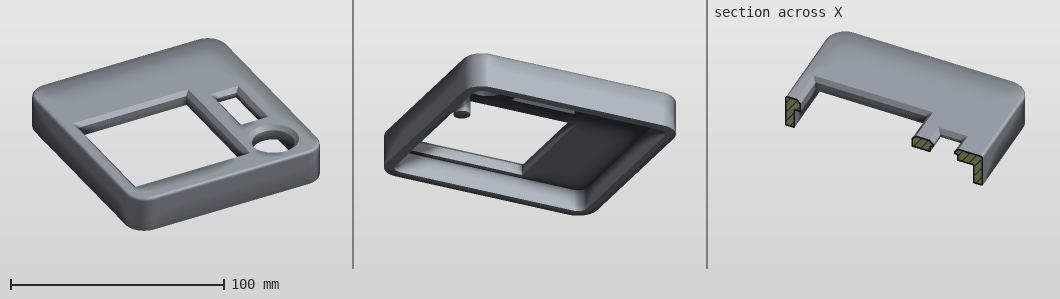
import cadquery as cq

LENGTH = 110.0
WIDTH = 102.04
HEIGHT = 18.0
CORNER_RADIUS = 10.0
TOP_FILLET = 1.5
WALL_X = 5.0
WALL_Y = 4.75
CAVITY_RADIUS = 5.0
TOP_THICKNESS = 7.0

CHAMFER = 2.0
CHAMFER_ANGLE = 45.0
SCREEN_SIZE = 57.7
SCREEN_CENTER = (67.1, 36.75)
SLOT_LENGTH = 25.7
SLOT_WIDTH = 11.1
SLOT_CENTER = (59.7, 82.05)
KNOB_DIAMETER = 20.0
KNOB_CENTER = (92.2, 82.9)

RECESS_MARGIN_X = 3.4
RECESS_MARGIN_Y = 1.5
RECESS_ROOF = 3.5

POST_DIAMETER = 8.0
POST_OFFSET_X = 4.1
POST_OFFSET_Y = 5.1

CAVITY_HEIGHT = HEIGHT - TOP_THICKNESS


def rounded_block(length, width, height, radius):
    """Block standing on Z = 0 with its lower left corner at the origin."""
    block = cq.Workplane("XY").box(length, width, height, centered=False)
    return block.edges("|Z").fillet(radius)


def make_shell():
    """Rounded cover, open underneath."""
    outer = rounded_block(LENGTH, WIDTH, HEIGHT, CORNER_RADIUS)
    outer = outer.faces(">Z").edges().fillet(TOP_FILLET)
    cavity = rounded_block(
        LENGTH - 2 * WALL_X,
        WIDTH - 2 * WALL_Y,
        CAVITY_HEIGHT,
        CAVITY_RADIUS,
    )
    return outer.cut(cavity.translate((WALL_X, WALL_Y, 0)))


def rectangular_opening(center, length, width):
    """Cutter for a window through the top with a chamfered lead-in."""
    through = cq.Workplane("XY").center(*center).rect(length, width).extrude(HEIGHT)
    lead_in = (
        cq.Workplane("XY", origin=(*center, HEIGHT))
        .rect(length + 2 * CHAMFER, width + 2 * CHAMFER)
        .extrude(-CHAMFER, taper=CHAMFER_ANGLE)
    )
    return through.union(lead_in)


def round_opening(center, diameter):
    """Cutter for a round hole through the top with a chamfered lead-in."""
    through = cq.Workplane("XY").center(*center).circle(diameter / 2).extrude(HEIGHT)
    lead_in = (
        cq.Workplane("XY", origin=(*center, HEIGHT))
        .circle(diameter / 2 + CHAMFER)
        .extrude(-CHAMFER, taper=CHAMFER_ANGLE)
    )
    return through.union(lead_in)


def make_recess():
    """Cutter for the rectangular recess around the slot on the underside of the top."""
    return (
        cq.Workplane("XY")
        .center(*SLOT_CENTER)
        .rect(SLOT_LENGTH + 2 * RECESS_MARGIN_X, SLOT_WIDTH + 2 * RECESS_MARGIN_Y)
        .extrude(HEIGHT - RECESS_ROOF)
    )


def make_post():
    """Round post hanging from the underside of the top."""
    x = SCREEN_CENTER[0] + SCREEN_SIZE / 2 + POST_OFFSET_X
    y = SCREEN_CENTER[1] + SCREEN_SIZE / 2 + POST_OFFSET_Y
    return cq.Workplane("XY").center(x, y).circle(POST_DIAMETER / 2).extrude(CAVITY_HEIGHT)


cover = make_shell()
cover = cover.cut(rectangular_opening(SCREEN_CENTER, SCREEN_SIZE, SCREEN_SIZE))
cover = cover.cut(rectangular_opening(SLOT_CENTER, SLOT_LENGTH, SLOT_WIDTH))
cover = cover.cut(round_opening(KNOB_CENTER, KNOB_DIAMETER))
cover = cover.cut(make_recess())
cover = cover.union(make_post())

result = cover.translate((-LENGTH / 2, -WIDTH / 2, 0))